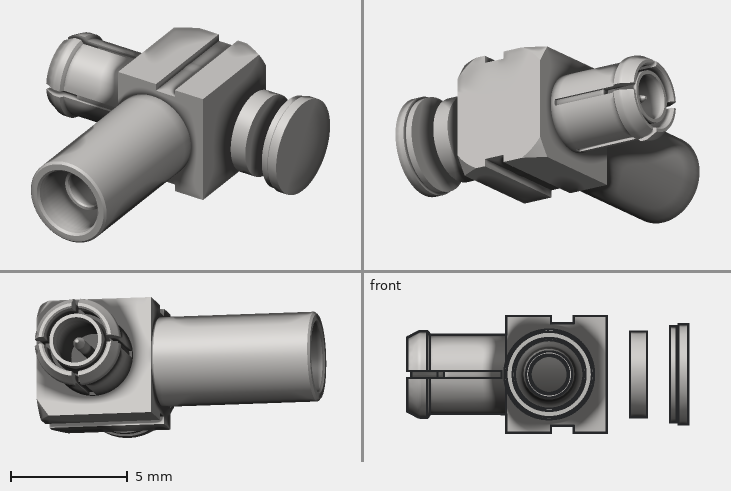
import cadquery as cq
import math


block_left = -1.84
block_right = 2.46
block_width = 5.0
block_half = block_width / 2
corner_cone_radius = 2.76
groove_left = 0.08
groove_right = 1.05
groove_depth = 0.32
core_radius = 2.2

plug_tip = -6.07
plug_radius = 1.7
plug_collar_radius = 1.86
plug_tip_radius = 1.59
collar_cone_end = 0.46
collar_cone_end_radius = 1.83
collar_flat_start = 0.61
collar_flat_end = 0.85
collar_end = 0.97
socket_radius = 1.38
socket_chamfer = 0.07
socket_depth = 1.57
slot_width = 0.29
slot_length = 4.02
slot_floor_radius = 1.59
slot_count = 4

sleeve_tip = 0.17
sleeve_radius = 1.14
sleeve_root_radius = 1.24
sleeve_taper_start = 1.3
sleeve_bore_radius = 0.98
pin_tip = 0.46
pin_radius = 0.25
pin_tip_radius = 0.07
pin_cone_length = 0.5

tube_radius = 1.92
tube_end = -9.4
tube_bore_radius = 1.47
tube_chamfer = 0.1
stem_setback = 1.36
stem_tip = tube_end + stem_setback
stem_tip_radius = 0.98
stem_root_radius = 1.16
stem_bore_radius = 0.79
stem_bore_chamfer = 0.06

disc_left = 3.45
disc_thickness = 0.75
disc_radius = 1.84
cap_left = 5.16
cap_right = 5.95
cap_spigot_radius = 2.07
cap_flange_radius = 2.15
cap_spigot_end = 5.45
cap_flange_start = 5.52
cap_neck_radius = 2.0


def x_cylinder(start, end, radius):
    """Cylinder along the X axis from start to end."""
    return cq.Workplane("YZ").workplane(offset=start).circle(radius).extrude(end - start)


def turn_about_x(profile):
    """Close an outline drawn from the X axis and revolve it about that axis."""
    return profile.close().revolve(360, (0, 0, 0), (1, 0, 0))


def turn_about_y(profile):
    """Close an outline drawn from the Y axis and revolve it about that axis."""
    return profile.close().revolve(360, (0, 0, 0), (0, 1, 0))


def make_block():
    length = block_right - block_left
    center_x = (block_left + block_right) / 2
    block = cq.Workplane("XY").box(length, block_width, block_width).translate((center_x, 0, 0))

    cone_base_radius = corner_cone_radius + block_width
    corner_cone = (
        cq.Workplane("XY")
        .moveTo(0, -block_half)
        .lineTo(cone_base_radius, -block_half)
        .lineTo(corner_cone_radius, block_half)
        .lineTo(0, block_half)
    )
    block = block.intersect(turn_about_y(corner_cone).translate((center_x, 0, 0)))

    groove_width = groove_right - groove_left
    groove_x = (groove_left + groove_right) / 2
    for side in (1, -1):
        groove = cq.Workplane("XY").box(groove_width, block_width, groove_depth)
        block = block.cut(groove.translate((groove_x, 0, side * (block_half - groove_depth / 2))))

    return block.union(x_cylinder(block_left, block_right, core_radius))


def make_plug_slots():
    """Slots through the socket wall that continue as shallow channels towards the block."""
    slot_height = plug_collar_radius
    slot_center_radius = (plug_collar_radius + socket_radius) / 2
    slots = cq.Workplane("XY")
    for index in range(slot_count):
        slot = (
            cq.Workplane("XY")
            .box(slot_length, slot_height, slot_width)
            .translate((plug_tip + slot_length / 2, slot_center_radius, 0))
            .rotate((0, 0, 0), (1, 0, 0), index * 360 / slot_count)
        )
        slots = slots.add(slot)
    return slots.combine().cut(x_cylinder(plug_tip + socket_depth, block_left, slot_floor_radius))


def make_plug():
    """Slotted collar shell with the sleeve and contact pin standing in its socket."""
    shell = turn_about_x(
        cq.Workplane("XY")
        .moveTo(plug_tip, 0)
        .lineTo(plug_tip, plug_tip_radius)
        .lineTo(plug_tip + collar_cone_end, collar_cone_end_radius)
        .tangentArcPoint((plug_tip + collar_flat_start, plug_collar_radius), relative=False)
        .lineTo(plug_tip + collar_flat_end, plug_collar_radius)
        .lineTo(plug_tip + collar_end, plug_radius)
        .lineTo(block_left, plug_radius)
        .lineTo(block_left, 0)
    )
    socket = turn_about_x(
        cq.Workplane("XY")
        .moveTo(plug_tip, 0)
        .lineTo(plug_tip, socket_radius + socket_chamfer)
        .lineTo(plug_tip + socket_chamfer, socket_radius)
        .lineTo(plug_tip + socket_depth, socket_radius)
        .lineTo(plug_tip + socket_depth, 0)
    )
    sleeve = turn_about_x(
        cq.Workplane("XY")
        .moveTo(plug_tip + sleeve_tip, 0)
        .lineTo(plug_tip + sleeve_tip, sleeve_radius)
        .lineTo(plug_tip + sleeve_taper_start, sleeve_radius)
        .lineTo(plug_tip + socket_depth, sleeve_root_radius)
        .lineTo(plug_tip + socket_depth, 0)
    )
    pin = turn_about_x(
        cq.Workplane("XY")
        .moveTo(plug_tip + pin_tip, 0)
        .lineTo(plug_tip + pin_tip, pin_tip_radius)
        .lineTo(plug_tip + pin_tip + pin_cone_length, pin_radius)
        .lineTo(block_left, pin_radius)
        .lineTo(block_left, 0)
    )
    sleeve_bore = x_cylinder(plug_tip, block_left, sleeve_bore_radius)
    return shell.cut(socket).cut(make_plug_slots()).union(sleeve).cut(sleeve_bore).union(pin)


def make_crimp_tube():
    """Crimp tube with the tapered cable stem standing inside it."""
    root_fillet = tube_bore_radius - stem_root_radius
    fillet_middle = root_fillet * (1 - math.cos(math.radians(45)))
    return turn_about_y(
        cq.Workplane("XY")
        .moveTo(0, -block_half)
        .lineTo(tube_radius - tube_chamfer, -block_half)
        .lineTo(tube_radius, -block_half - tube_chamfer)
        .lineTo(tube_radius, tube_end + tube_chamfer)
        .lineTo(tube_radius - tube_chamfer, tube_end)
        .lineTo(tube_bore_radius + tube_chamfer, tube_end)
        .lineTo(tube_bore_radius, tube_end + tube_chamfer)
        .lineTo(tube_bore_radius, -block_half)
        .threePointArc(
            (stem_root_radius + fillet_middle, -block_half - fillet_middle),
            (stem_root_radius, -block_half - root_fillet),
        )
        .lineTo(stem_tip_radius, stem_tip)
        .lineTo(0, stem_tip)
    )


def make_stem_bore():
    """Bore from the stem tip down to the cylindrical core of the block."""
    bore = turn_about_y(
        cq.Workplane("XY")
        .moveTo(0, stem_tip)
        .lineTo(stem_bore_radius + stem_bore_chamfer, stem_tip)
        .lineTo(stem_bore_radius, stem_tip + stem_bore_chamfer)
        .lineTo(stem_bore_radius, 0)
        .lineTo(0, 0)
    )
    return bore.cut(x_cylinder(block_left, block_right, core_radius))


def make_connector():
    return make_block().union(make_plug()).union(make_crimp_tube()).cut(make_stem_bore())


def make_disc():
    return x_cylinder(disc_left, disc_left + disc_thickness, disc_radius)


def make_cap():
    """Spigot with a back-tapered neck, and a flange."""
    return turn_about_x(
        cq.Workplane("XY")
        .moveTo(cap_left, 0)
        .lineTo(cap_left, cap_spigot_radius)
        .lineTo(cap_spigot_end, cap_spigot_radius)
        .lineTo(cap_flange_start, cap_neck_radius)
        .lineTo(cap_flange_start, cap_flange_radius)
        .lineTo(cap_right, cap_flange_radius)
        .lineTo(cap_right, 0)
    )


connector = make_connector()
disc = make_disc()
cap = make_cap()

result = cq.Compound.makeCompound([connector.val(), disc.val(), cap.val()])